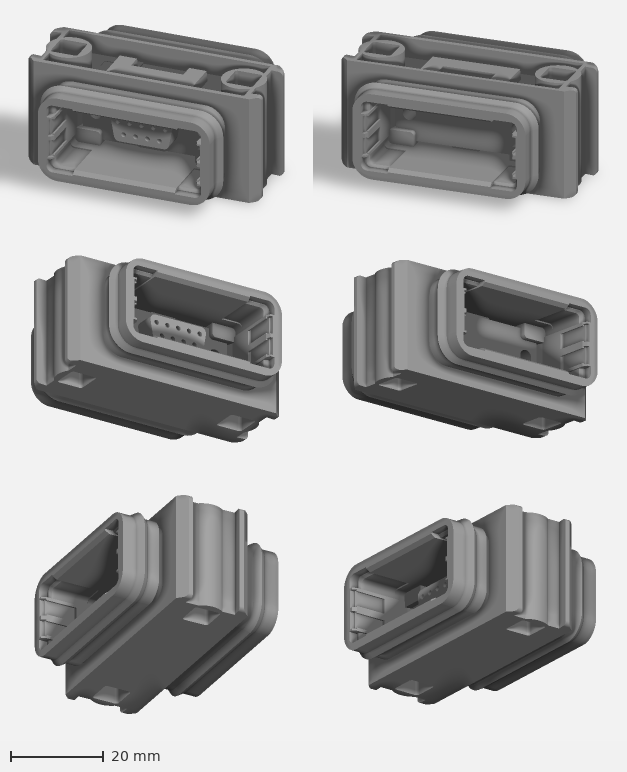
import cadquery as cq

EPS = 0.05

BODY_X = 54.0
BODY_Y = 17.5
BODY_Z = 25.0
CORNER_CHAMFER = 2.0
HOOK_ROOT_Y = 6.0
HOOK_TIP_Y = 5.7
SIDE_WALL_X = 24.3
HOOK_END_RADIUS = 0.95

TUBE_X = 20.3
TUBE_DIAMETER = 10.0
TUBE_HOLE = 6.25
TUBE_HOLE_RADIUS = 0.65

POCKET_HALF_X = 23.35
POCKET_BACK_Y = 7.7
POCKET_FRONT_Y = -7.55
POCKET_DEPTH = 4.55
POCKET_FLOOR_Z = BODY_Z / 2 - POCKET_DEPTH

LATCH_X = 20.15
LATCH_HALF_Y = 4.45
LATCH_HEIGHT = 2.7
LATCH_SLOPE = 0.55
NOTCH_X = 12.1
NOTCH_FRONT_Y = 0.45
NOTCH_SINK = 0.3
MARK_CENTRE = (-12.8, 4.05)
MARK_SIZE = 2.65
MARK_DEPTH = 0.15

COLLAR_END = 19.05
COLLAR_START = 10.15
COLLAR_HALF_X = 19.9
COLLAR_HALF_Z = 9.95
COLLAR_RADIUS = 4.55
RIDGE_START = 12.9
RIDGE_PEAK = 14.35
RIDGE_END = 15.8
RIDGE_HALF_X = 21.2
RIDGE_HALF_Z = 10.75
RIDGE_RADIUS = 5.4
NECK_SINK = 1.5
NECK_EDGE_SINK = 1.0

SOCKET_HALF_X = 16.5
SOCKET_HALF_Z = 7.0
SOCKET_RADIUS = 0.95
LEAD_IN_X = 0.5
LEAD_IN_Z = 0.7
LEAD_IN_DEPTH = 1.0
THROAT_HALF_X = 16.0
THROAT_HALF_Y = 2.95
THROAT_TAPER = 1.6

CORNER_INNER_X = 11.8
CORNER_INNER_Z = 5.0
GROOVE_HALF_X = 16.85
GROOVE_HALF_Z = 7.35
GROOVE_END = 7.7
BEVEL_HALF_X = 17.35
BEVEL_HALF_Z = 7.9
BEVEL_LENGTH = 0.55
MOUTH_HALF_X = 18.0
MOUTH_HALF_Z = 8.05
MOUTH_DEPTH = 2.0
MOUTH_RADIUS = 1.5

CHANNEL_LOW_Z = 0.5
CHANNEL_HIGH_Z = 4.6
CHANNEL_HALF_X = 17.3
CHANNEL_LIP_X = 16.9
CHANNEL_LIP_REACH = 0.3
CHANNEL_LENGTH = 8.35
CHANNEL_MOUTH_HALF_X = 17.65
CHANNEL_MOUTH_DEPTH = 1.0

PANEL_X = 31.15
PANEL_Z = 12.4
PANEL_THICKNESS = 7.55
SCREW_HOLE_X = 12.55
SCREW_HOLE_DIAMETER = 3.1
BRIDGE_X = 6.15
BRIDGE_THICKNESS = 5.4
TAB_INNER_X = 11.0
TAB_INNER_Z = 3.7
TAB_HALF_Y = 5.2
TAB_RADIUS = 0.85

INSERT_TOP_HALF_X = 7.35
INSERT_BOTTOM_HALF_X = 6.2
INSERT_HALF_Z = 3.25
INSERT_RADIUS = 1.3
INSERT_END = 8.75
CONTACT_PITCH = 2.75
CONTACT_ROW_Z = 1.45
CONTACT_DIAMETER = 1.15
CONTACT_DEPTH = 1.1


def box(x0, x1, y0, y1, z0, z1):
    """Box between opposite corners."""
    return cq.Workplane("XY").box(x1 - x0, y1 - y0, z1 - z0, centered=False).translate((x0, y0, z0))


def rounded_outline(half_x, half_z, radius):
    """Rounded rectangle lying in the XZ plane."""
    return cq.Sketch().rect(2 * half_x, 2 * half_z).vertices().fillet(radius)


def facing_front(y):
    """XZ workplane at the given y."""
    return cq.Workplane("XZ", origin=(0, y, 0))


def rounded_bar(half_x, half_z, radius, y0, y1):
    """Rounded rectangular bar running along Y from y0 to y1."""
    return facing_front(y1).placeSketch(rounded_outline(half_x, half_z, radius)).extrude(y1 - y0)


def rounded_taper(start, end, y0, y1):
    """Taper along Y between two (half_x, half_z, radius) outlines; y0 is behind y1."""
    first = rounded_outline(*start)
    second = rounded_outline(*end).moved(cq.Location(cq.Vector(0, 0, y0 - y1)))
    return facing_front(y0).placeSketch(first, second).loft(ruled=True)


def mirrored_pair(solid, plane):
    """A solid together with its mirror image in the plane."""
    return solid.union(solid.mirror(plane))


def four_corners(solid):
    """Repeat a solid in the four XZ corners."""
    return mirrored_pair(mirrored_pair(solid, "YZ"), "XY")


def make_block():
    half_x = BODY_X / 2
    half_y = BODY_Y / 2
    right = [
        (half_x - CORNER_CHAMFER, half_y),
        (half_x, half_y - CORNER_CHAMFER),
        (half_x, HOOK_TIP_Y),
        (SIDE_WALL_X, HOOK_ROOT_Y),
        (SIDE_WALL_X, -HOOK_ROOT_Y),
        (half_x, -HOOK_TIP_Y),
        (half_x, CORNER_CHAMFER - half_y),
        (half_x - CORNER_CHAMFER, -half_y),
    ]
    left = [(-x, y) for x, y in reversed(right)]
    block = cq.Workplane("XY").polyline(right + left).close().extrude(BODY_Z)
    block = block.translate((0, 0, -BODY_Z / 2))
    envelope = cq.Workplane("XY").box(BODY_X, BODY_Y, BODY_Z).edges("|Y").fillet(HOOK_END_RADIUS)
    return block.intersect(envelope)


def make_pocket():
    return box(-POCKET_HALF_X, POCKET_HALF_X, POCKET_FRONT_Y, POCKET_BACK_Y, POCKET_FLOOR_Z, BODY_Z)


def make_tubes():
    return (
        cq.Workplane("XY", origin=(0, 0, -BODY_Z / 2))
        .pushPoints([(-TUBE_X, 0), (TUBE_X, 0)])
        .circle(TUBE_DIAMETER / 2)
        .extrude(BODY_Z)
    )


def make_tube_holes():
    hole = cq.Workplane("XY").box(TUBE_HOLE, TUBE_HOLE, BODY_Z + 2 * EPS)
    hole = hole.edges("|Z").fillet(TUBE_HOLE_RADIUS).translate((TUBE_X, 0, 0))
    return mirrored_pair(hole, "YZ")


def make_latch():
    top_half_y = LATCH_HALF_Y - LATCH_SLOPE
    top_z = POCKET_FLOOR_Z + LATCH_HEIGHT
    base_z = POCKET_FLOOR_Z - EPS
    profile = [(-LATCH_HALF_Y, base_z), (LATCH_HALF_Y, base_z), (top_half_y, top_z), (-top_half_y, top_z)]
    return cq.Workplane("YZ").polyline(profile).close().extrude(LATCH_X / 2, both=True)


def make_notch():
    return box(-NOTCH_X / 2, NOTCH_X / 2, NOTCH_FRONT_Y, POCKET_BACK_Y, POCKET_FLOOR_Z - NOTCH_SINK, BODY_Z)


def make_mark():
    mark = cq.Workplane("XY").box(MARK_SIZE, MARK_SIZE, 2 * MARK_DEPTH)
    return mark.translate((*MARK_CENTRE, POCKET_FLOOR_Z))


def make_neck():
    """Short stub between block and collar, hollowed by a round groove."""
    start = BODY_Y / 2
    half_width = (COLLAR_START - start) / 2
    arc_sag = NECK_SINK - NECK_EDGE_SINK
    groove_radius = (half_width ** 2 + arc_sag ** 2) / (2 * arc_sag)
    mid_y = -(start + half_width)
    stub = rounded_bar(
        COLLAR_HALF_X - NECK_EDGE_SINK,
        COLLAR_HALF_Z - NECK_EDGE_SINK,
        COLLAR_RADIUS - NECK_EDGE_SINK,
        -COLLAR_START - EPS,
        -start + EPS,
    )
    path_offset = groove_radius - NECK_SINK
    path_half_x = COLLAR_HALF_X + path_offset
    path_half_z = COLLAR_HALF_Z + path_offset
    path_face = rounded_bar(path_half_x, path_half_z, COLLAR_RADIUS + path_offset, mid_y, 0)
    path = cq.Workplane(path_face.faces("<Y").val().outerWire())
    section = cq.Workplane("YZ", origin=(0, mid_y, path_half_z)).circle(groove_radius)
    return stub.cut(section.sweep(path))


def make_collar():
    """Collar on the front side with its V-shaped sealing ridge."""
    base = (COLLAR_HALF_X, COLLAR_HALF_Z, COLLAR_RADIUS)
    peak = (RIDGE_HALF_X, RIDGE_HALF_Z, RIDGE_RADIUS)
    collar = rounded_bar(*base, -COLLAR_END, -COLLAR_START)
    collar = collar.union(rounded_taper(base, peak, -RIDGE_START, -RIDGE_PEAK))
    collar = collar.union(rounded_taper(peak, base, -RIDGE_PEAK, -RIDGE_END))
    return collar.union(make_neck())


def make_corner_grooves():
    """Stepped grooves in the four corners of the front socket."""
    groove = (GROOVE_HALF_X, GROOVE_HALF_Z, SOCKET_RADIUS)
    bevel = (BEVEL_HALF_X, BEVEL_HALF_Z, SOCKET_RADIUS)
    mouth_y = MOUTH_DEPTH - COLLAR_END
    bevel_y = mouth_y + BEVEL_LENGTH
    steps = rounded_bar(*groove, mouth_y, -GROOVE_END)
    steps = steps.union(rounded_taper(groove, bevel, bevel_y, mouth_y))
    steps = steps.union(rounded_bar(MOUTH_HALF_X, MOUTH_HALF_Z, MOUTH_RADIUS, -COLLAR_END - EPS, mouth_y))
    corner = box(CORNER_INNER_X, BODY_X, -BODY_X, 0, CORNER_INNER_Z, BODY_Z)
    relief = rounded_bar(GROOVE_HALF_X, SOCKET_HALF_Z, SOCKET_RADIUS, -GROOVE_END, -TAB_HALF_Y)
    return steps.union(relief).intersect(four_corners(corner))


def make_channels():
    """Two lipped channels along each side wall of the front socket, widened at the mouth."""
    inner_x = THROAT_HALF_X
    front = -COLLAR_END - EPS
    mouth_back = CHANNEL_MOUTH_DEPTH - COLLAR_END
    back = CHANNEL_LENGTH - COLLAR_END
    low_lip = CHANNEL_LOW_Z + CHANNEL_LIP_REACH
    high_lip = CHANNEL_HIGH_Z - CHANNEL_LIP_REACH
    mouth = box(inner_x, CHANNEL_MOUTH_HALF_X, front, mouth_back, CHANNEL_LOW_Z, CHANNEL_HIGH_Z)
    opening = box(inner_x, CHANNEL_HALF_X, front, back, low_lip, high_lip)
    undercut = box(CHANNEL_LIP_X, CHANNEL_HALF_X, front, back, CHANNEL_LOW_Z, CHANNEL_HIGH_Z)
    return four_corners(mouth.union(opening).union(undercut))


def make_socket():
    """Front half of the opening that runs through collars and block."""
    throat = (THROAT_HALF_X, SOCKET_HALF_Z, SOCKET_RADIUS)
    main = (SOCKET_HALF_X, SOCKET_HALF_Z, SOCKET_RADIUS)
    lead_in = (SOCKET_HALF_X + LEAD_IN_X, SOCKET_HALF_Z + LEAD_IN_Z, SOCKET_RADIUS + LEAD_IN_X)
    taper_end = -THROAT_HALF_Y - THROAT_TAPER
    socket = rounded_bar(*throat, -THROAT_HALF_Y, EPS)
    socket = socket.union(rounded_taper(throat, main, -THROAT_HALF_Y, taper_end))
    socket = socket.union(rounded_bar(*main, -COLLAR_END, taper_end))
    socket = socket.union(rounded_taper(main, lead_in, LEAD_IN_DEPTH - COLLAR_END, -COLLAR_END))
    return socket.union(make_corner_grooves()).union(make_channels())


def make_tabs():
    """Corner tabs that clamp the panel inside the socket."""
    tab = box(TAB_INNER_X, GROOVE_HALF_X + EPS, -TAB_HALF_Y, TAB_HALF_Y, TAB_INNER_Z, SOCKET_HALF_Z + EPS)
    return four_corners(tab.edges("|Y and <X and <Z").fillet(TAB_RADIUS))


def make_insert():
    outline = [
        (-INSERT_TOP_HALF_X, INSERT_HALF_Z),
        (INSERT_TOP_HALF_X, INSERT_HALF_Z),
        (INSERT_BOTTOM_HALF_X, -INSERT_HALF_Z),
        (-INSERT_BOTTOM_HALF_X, -INSERT_HALF_Z),
    ]
    insert = facing_front(0).polyline(outline).close().extrude(INSERT_END)
    return insert.edges("|Y").fillet(INSERT_RADIUS)


def make_contact_holes():
    upper = [((i - 2) * CONTACT_PITCH, CONTACT_ROW_Z) for i in range(5)]
    lower = [((i - 1.5) * CONTACT_PITCH, -CONTACT_ROW_Z) for i in range(4)]
    holes = facing_front(-INSERT_END).pushPoints(upper + lower).circle(CONTACT_DIAMETER / 2)
    return holes.extrude(-CONTACT_DEPTH)


def make_panel():
    panel = cq.Workplane("XY").box(PANEL_X, PANEL_THICKNESS, PANEL_Z)
    bridges = cq.Workplane("XY").box(BRIDGE_X, BRIDGE_THICKNESS, 2 * (SOCKET_HALF_Z + EPS))
    screw_holes = (
        facing_front(0)
        .pushPoints([(-SCREW_HOLE_X, 0), (SCREW_HOLE_X, 0)])
        .circle(SCREW_HOLE_DIAMETER / 2)
        .extrude(PANEL_THICKNESS, both=True)
    )
    panel = panel.union(bridges).cut(screw_holes)
    return panel.union(make_insert()).cut(make_contact_holes())


housing = make_block().cut(make_pocket()).union(make_tubes()).cut(make_tube_holes())
housing = housing.union(make_latch()).cut(make_notch()).cut(make_mark())
housing = housing.union(mirrored_pair(make_collar(), "XZ"))
housing = housing.cut(mirrored_pair(make_socket(), "XZ"))
result = housing.union(make_tabs()).union(make_panel())